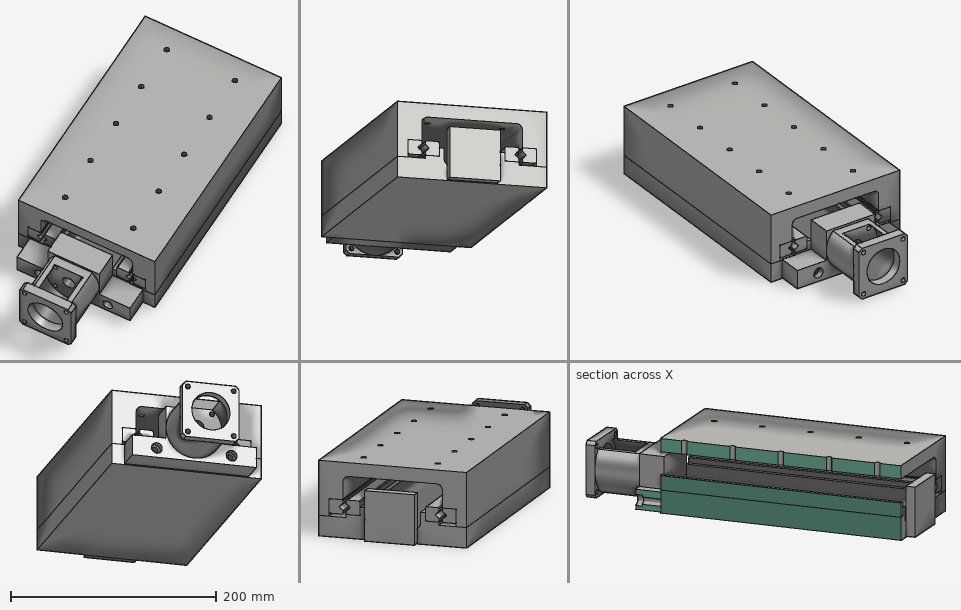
import cadquery as cq


WIDTH = 152.3
HEIGHT = 76.0
SLIDE_LENGTH = 253.5
JOINT_Z = 20.8

RAIL_WIDTH = 14.2
RAIL_BOTTOM_Z = 24.0
RAIL_TOP_Z = 38.5
RAIL_HEIGHT = RAIL_TOP_Z - RAIL_BOTTOM_Z
RAIL_CHAMFER = 1.0
ROLLER_GAP = 3.5
GROOVE_DEPTH = 3.8
INNER_RAIL_FACE_X = 47.8
OUTER_RAIL_FACE_X = INNER_RAIL_FACE_X + ROLLER_GAP

OPENING_TOP_Z = 62.3
OPENING_FILLET = 6.2
TABLE_HOLE_DIAMETER = 5.2
TABLE_HOLE_PITCH_X = 76.0
TABLE_HOLE_PITCH_Y = 51.0
TABLE_HOLE_ROWS = 5

SHOULDER_X = INNER_RAIL_FACE_X - RAIL_WIDTH
SHOULDER_Z = 32.2
CHANNEL_HALF_WIDTH = 28.7
CHANNEL_FLOOR_Z = 15.0
CHANNEL_FILLET = 7.0

AXIS_Z = 33.0
UNDERSIDE_GAP = 1.0
END_BLOCK_LENGTH = 26.3
END_BLOCK_TOP_Z = 55.0
FLANGE_SIZE = 57.5
FOOT_WIDTH = 126.3
FOOT_TOP_Z = 21.8
FOOT_HOLE_SPACING = 76.0
FOOT_HOLE_Z = 10.7
FOOT_HOLE_DIAMETER = 7.0
COUNTERBORE_DIAMETER = 10.7
COUNTERBORE_DEPTH = 7.0
REAR_PLATE_WIDTH = 51.2
REAR_PLATE_TOP_Z = 52.0

TUBE_LENGTH = 46.7
TUBE_FLAT_Z = 52.5
END_WALL_THICKNESS = 9.5
CHAMBER_DIAMETER = 50.2
SHAFT_HOLE_DIAMETER = 14.2
MOUNT_HOLE_SPACING = 30.5
MOUNT_HOLE_DIAMETER = 5.0
FLANGE_THICKNESS = 9.7
FLANGE_BORE_DIAMETER = 38.8
FLANGE_CHAMFER = 3.5
FLANGE_HOLE_SPACING = 46.7
FLANGE_HOLE_DIAMETER = 5.0

TOTAL_LENGTH = 346.0
HOUSING_LENGTH = TUBE_LENGTH + FLANGE_THICKNESS
REAR_PLATE_LENGTH = TOTAL_LENGTH - SLIDE_LENGTH - END_BLOCK_LENGTH - HOUSING_LENGTH


def box(x_min, x_max, y_min, y_max, z_min, z_max):
    """Block between the given limits."""
    size = (x_max - x_min, y_max - y_min, z_max - z_min)
    return cq.Workplane().box(*size, centered=False).translate((x_min, y_min, z_min))


def centred_box(width, y_min, y_max, z_min, z_max):
    """Block symmetric about X = 0."""
    return box(-width / 2, width / 2, y_min, y_max, z_min, z_max)


def cylinders(diameter, y_min, y_max, centres):
    """Cylinders along Y at the given (x, z) centres."""
    plane = cq.Workplane("XZ", origin=(0, y_max, 0))
    return plane.pushPoints(centres).circle(diameter / 2).extrude(y_max - y_min)


def square_pattern(spacing):
    """Corners of a square centred on the drive axis."""
    half = spacing / 2
    return [(x, AXIS_Z + z) for x in (-half, half) for z in (-half, half)]


def make_table():
    table = centred_box(WIDTH, 0, SLIDE_LENGTH, JOINT_Z, HEIGHT)
    opening = centred_box(2 * OUTER_RAIL_FACE_X, 0, SLIDE_LENGTH, JOINT_Z, OPENING_TOP_Z)
    opening = opening.edges("|Y and >Z").fillet(OPENING_FILLET)
    rail_seats = centred_box(2 * (OUTER_RAIL_FACE_X + RAIL_WIDTH), 0, SLIDE_LENGTH, JOINT_Z, RAIL_TOP_Z)
    holes = (
        cq.Workplane(origin=(0, SLIDE_LENGTH / 2, OPENING_TOP_Z))
        .rarray(TABLE_HOLE_PITCH_X, TABLE_HOLE_PITCH_Y, 2, TABLE_HOLE_ROWS)
        .circle(TABLE_HOLE_DIAMETER / 2)
        .extrude(HEIGHT - OPENING_TOP_Z)
    )
    return table.cut(opening).cut(rail_seats).cut(holes)


def make_base():
    base = centred_box(WIDTH, 0, SLIDE_LENGTH, 0, JOINT_Z)
    rail_pedestal = centred_box(2 * INNER_RAIL_FACE_X, 0, SLIDE_LENGTH, 0, RAIL_BOTTOM_Z)
    shoulders = centred_box(2 * SHOULDER_X, 0, SLIDE_LENGTH, 0, SHOULDER_Z)
    channel = centred_box(2 * CHANNEL_HALF_WIDTH, 0, SLIDE_LENGTH, CHANNEL_FLOOR_Z, SHOULDER_Z)
    channel = channel.edges("|Y and <Z").fillet(CHANNEL_FILLET)
    return base.union(rail_pedestal).union(shoulders).cut(channel)


def make_rail(face_x, back_direction):
    """Rail whose grooved side is at face_x and whose body extends towards back_direction (+1 or -1)."""
    rail = (
        cq.Workplane("XZ", origin=(0, SLIDE_LENGTH, 0))
        .center(face_x + back_direction * RAIL_WIDTH / 2, RAIL_BOTTOM_Z + RAIL_HEIGHT / 2)
        .rect(RAIL_WIDTH, RAIL_HEIGHT)
        .extrude(SLIDE_LENGTH)
        .edges("|Y")
        .chamfer(RAIL_CHAMFER)
    )
    middle_z = (RAIL_BOTTOM_Z + RAIL_TOP_Z) / 2
    groove = (
        cq.Workplane("XZ", origin=(0, SLIDE_LENGTH, 0))
        .moveTo(face_x, middle_z - GROOVE_DEPTH)
        .lineTo(face_x + back_direction * GROOVE_DEPTH, middle_z)
        .lineTo(face_x, middle_z + GROOVE_DEPTH)
        .close()
        .extrude(SLIDE_LENGTH)
    )
    return rail.cut(groove)


def make_end_block():
    front_y = -END_BLOCK_LENGTH
    block = centred_box(FLANGE_SIZE, front_y, 0, UNDERSIDE_GAP, END_BLOCK_TOP_Z)
    feet = centred_box(FOOT_WIDTH, front_y, 0, UNDERSIDE_GAP, FOOT_TOP_Z)
    centres = [(side * FOOT_HOLE_SPACING / 2, FOOT_HOLE_Z) for side in (-1, 1)]
    holes = cylinders(FOOT_HOLE_DIAMETER, front_y, 0, centres)
    counterbores = cylinders(COUNTERBORE_DIAMETER, front_y, front_y + COUNTERBORE_DEPTH, centres)
    return block.union(feet).cut(holes).cut(counterbores)


def make_motor_housing():
    """Tube and motor flange; the chamber breaks through the flat on the tube to form a window."""
    back_y = -END_BLOCK_LENGTH
    end_wall_y = back_y - END_WALL_THICKNESS
    flange_back_y = back_y - TUBE_LENGTH
    front_y = back_y - HOUSING_LENGTH
    axis = [(0, AXIS_Z)]

    tube = cylinders(FLANGE_SIZE, flange_back_y, back_y, axis)
    tube = tube.intersect(centred_box(FLANGE_SIZE, flange_back_y, back_y, 0, TUBE_FLAT_Z))
    flange = centred_box(
        FLANGE_SIZE, front_y, flange_back_y, AXIS_Z - FLANGE_SIZE / 2, AXIS_Z + FLANGE_SIZE / 2
    )
    flange = flange.edges("|Y").chamfer(FLANGE_CHAMFER)

    chamber = cylinders(CHAMBER_DIAMETER, flange_back_y, end_wall_y, axis)
    flange_bore = cylinders(FLANGE_BORE_DIAMETER, front_y, flange_back_y, axis)
    shaft_hole = cylinders(SHAFT_HOLE_DIAMETER, end_wall_y, back_y, axis)
    mount_holes = cylinders(MOUNT_HOLE_DIAMETER, end_wall_y, back_y, square_pattern(MOUNT_HOLE_SPACING))
    flange_holes = cylinders(
        FLANGE_HOLE_DIAMETER, front_y, flange_back_y, square_pattern(FLANGE_HOLE_SPACING)
    )
    housing = tube.union(flange).cut(chamber).cut(flange_bore)
    return housing.cut(shaft_hole).cut(mount_holes).cut(flange_holes)


def make_rear_plate():
    return centred_box(
        REAR_PLATE_WIDTH, SLIDE_LENGTH, SLIDE_LENGTH + REAR_PLATE_LENGTH, UNDERSIDE_GAP, REAR_PLATE_TOP_Z
    )


table = make_table()
base = make_base()
rails = []
for side in (-1, 1):
    rails.append(make_rail(side * INNER_RAIL_FACE_X, -side))
    rails.append(make_rail(side * OUTER_RAIL_FACE_X, side))
end_block = make_end_block()
motor_housing = make_motor_housing()
rear_plate = make_rear_plate()

result = cq.Compound.makeCompound([
    table.val(),
    base.val(),
    *[rail.val() for rail in rails],
    end_block.val(),
    motor_housing.val(),
    rear_plate.val(),
])